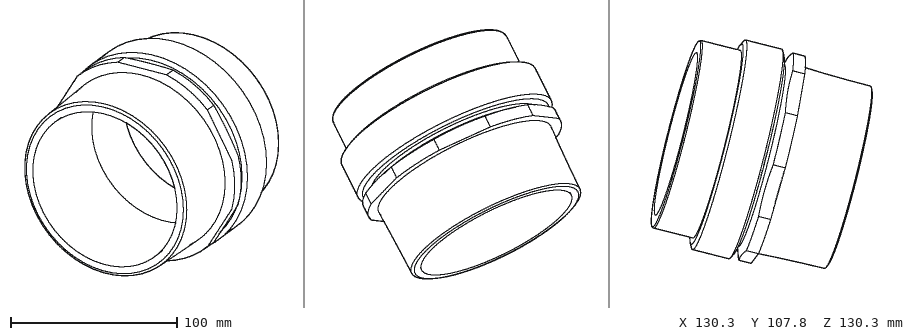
import cadquery as cq

total_length = 107.8
bore_radius = 100.9 / 2

spigot_tip_radius = 113.4 / 2
spigot_root_radius = 115.8 / 2
spigot_face_radius = 109.7 / 2
spigot_chamfer_length = 0.9
collar_start = 44.2
collar_land_end = 51.7
collar_end = 54.6
collar_radius = 129.3 / 2
collar_across_flats = 124.7
neck_radius = 113.1 / 2

ring_start = 56.8
ring_end = 82.5
ring_radius = 130.3 / 2
ring_chamfer_length = 1.5
ring_chamfer_depth = 2.9

sleeve_radius = 116.6 / 2
sleeve_chamfer_length = 0.9
sleeve_chamfer_depth = 0.5
joint = (ring_start + ring_end) / 2


def revolve_about_y(profile):
    """Revolve (radius, y) points into a ring about the Y axis."""
    return cq.Workplane("XY").polyline(profile).close().revolve(360, (0, 0, 0), (0, 1, 0))


def make_collar():
    collar = revolve_about_y([
        (bore_radius, collar_start),
        (collar_radius, collar_start),
        (collar_radius, collar_land_end),
        (neck_radius, collar_end),
        (bore_radius, collar_end),
    ])
    hexagon = (
        cq.Workplane("XZ", origin=(0, collar_end, 0))
        .polygon(6, collar_across_flats, circumscribed=True)
        .extrude(collar_end - collar_start)
        .rotate((0, 0, 0), (0, 1, 0), 30)
    )
    return collar.intersect(hexagon)


def make_adapter():
    spigot = revolve_about_y([
        (bore_radius, 0),
        (spigot_face_radius, 0),
        (spigot_tip_radius, spigot_chamfer_length),
        (spigot_root_radius, collar_start),
        (bore_radius, collar_start),
    ])
    neck = revolve_about_y([
        (bore_radius, collar_end),
        (neck_radius, collar_end),
        (neck_radius, joint),
        (bore_radius, joint),
    ])
    return spigot.union(make_collar()).union(neck)


def make_ring():
    chamfered_radius = ring_radius - ring_chamfer_depth
    return revolve_about_y([
        (neck_radius, ring_start),
        (chamfered_radius, ring_start),
        (ring_radius, ring_start + ring_chamfer_length),
        (ring_radius, ring_end - ring_chamfer_length),
        (chamfered_radius, ring_end),
        (sleeve_radius, ring_end),
        (sleeve_radius, joint),
        (neck_radius, joint),
    ])


def make_sleeve():
    return revolve_about_y([
        (bore_radius, joint),
        (sleeve_radius, joint),
        (sleeve_radius, total_length - sleeve_chamfer_length),
        (sleeve_radius - sleeve_chamfer_depth, total_length),
        (bore_radius, total_length),
    ])


adapter = make_adapter()
ring = make_ring()
sleeve = make_sleeve()

result = cq.Compound.makeCompound([adapter.val(), ring.val(), sleeve.val()])